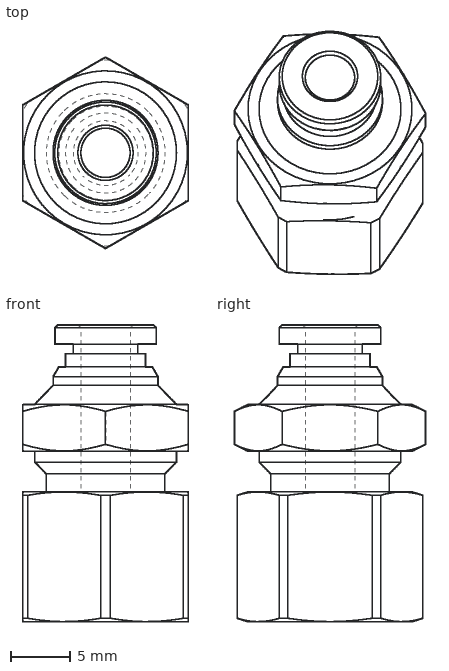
import cadquery as cq
import math

total_height = 25.1
across_flats = 14.0
facing_radius = 6.93

body_height = 11.0
body_corner_radius = 7.85
body_bevel_angle = 18.0

shank_radius = 5.02
shoulder_radius = 6.0
shank_top = 12.5
shoulder_bottom = 13.5

nut_bottom = 14.4
nut_thickness = 3.97
nut_bevel_angle = 27.0

collar_bottom = 19.98
collar_bevel_bottom = 20.7
collar_top = 21.54
collar_radius = 4.45
collar_top_radius = 3.97

guide_radius = 3.4
guide_top = 22.67
neck_radius = 2.74
flange_bottom = 23.47
flange_radius = 4.3
flange_chamfer = 0.25

bore_radius = 2.08
bore_chamfer = 0.25
bore_floor = body_height

nut_top = nut_bottom + nut_thickness
hex_corner_radius = across_flats / math.sqrt(3)


def revolve_profile(points):
    """Turn a closed (radius, height) outline about the Z axis."""
    outline = cq.Workplane("XZ").polyline(points).close()
    return outline.revolve(360, (0, 0, 0), (0, 1, 0))


def beveled_hex(bottom, top, outer_radius, bevel_angle):
    """Hexagonal prism with corners on the Y axis, beveled conically at both ends."""
    prism = (
        cq.Workplane("XY", origin=(0, 0, bottom))
        .polygon(6, 2 * hex_corner_radius)
        .extrude(top - bottom)
        .rotate((0, 0, 0), (0, 0, 1), 30)
    )
    bevel_drop = (outer_radius - facing_radius) * math.tan(math.radians(bevel_angle))
    envelope = revolve_profile([
        (0, bottom),
        (facing_radius, bottom),
        (outer_radius, bottom + bevel_drop),
        (outer_radius, top - bevel_drop),
        (facing_radius, top),
        (0, top),
    ])
    return prism.intersect(envelope)


def turned_core():
    """Stepped round core running from the body up to the release sleeve flange."""
    return revolve_profile([
        (0, 0),
        (shank_radius, 0),
        (shank_radius, shank_top),
        (shoulder_radius, shoulder_bottom),
        (shoulder_radius, nut_top),
        (collar_radius, collar_bottom),
        (collar_radius, collar_bevel_bottom),
        (collar_top_radius, collar_top),
        (guide_radius, collar_top),
        (guide_radius, guide_top),
        (neck_radius, guide_top),
        (neck_radius, flange_bottom),
        (flange_radius, flange_bottom),
        (flange_radius, total_height - flange_chamfer),
        (flange_radius - flange_chamfer, total_height),
        (0, total_height),
    ])


def tube_bore():
    """Blind bore with a chamfered mouth, open at the top."""
    return revolve_profile([
        (0, bore_floor),
        (bore_radius, bore_floor),
        (bore_radius, total_height - bore_chamfer),
        (bore_radius + bore_chamfer, total_height),
        (0, total_height),
    ])


body = beveled_hex(0, body_height, body_corner_radius, body_bevel_angle)
lock_nut = beveled_hex(nut_bottom, nut_top, hex_corner_radius, nut_bevel_angle)

result = turned_core().union(body).union(lock_nut).cut(tube_bore())